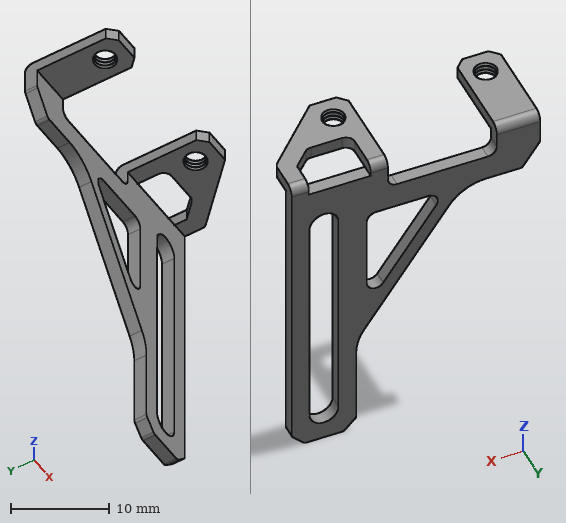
import cadquery as cq
import math

width = 27.77
depth = 10.8
height = 35.75
plate_thickness = 1.5
tab_thickness = 1.43
corner_radius = 1.0
small_corner_radius = 0.5
bend_radius = 1.0

left_tab_width = 4.85
right_tab_start = 17.0
notch_floor = height - 3.68
arm_bottom = 29.05
arm_cut = 2.05
leg_width = 7.22
leg_left = width - leg_width
foot_chamfer = 1.43
brace_angle = 55.2
brace_slope = math.tan(math.radians(brace_angle))
brace_top_x = 8.7
arm_fillet = 5.0
leg_fillet = 5.0

slot_width = 3.2
slot_bottom = 2.07
slot_top = 30.95
window_left = 10.55
window_right = 19.37

tab_chamfer = 0.95
tab_nose_width = 2.95
gusset_rim = 1.93
gusset_floor = 4.95
gusset_offset = 2.93

hole_inset = 2.45
hole_from_tip = 2.65
minor_diameter = 2.2
major_diameter = 2.5
thread_turns = 3
thread_pitch = tab_thickness / thread_turns


def plate_prism(outline):
    """Extrude an XZ outline through the plate thickness, forward from Y = 0."""
    return cq.Workplane("XZ").polyline(outline).close().extrude(plate_thickness)


def tab_prism(outline):
    """Extrude an XY outline through the tab thickness, down from the top."""
    return cq.Workplane("XY", origin=(0, 0, height)).polyline(outline).close().extrude(-tab_thickness)


def round_edge(body, direction, point, radius):
    """Fillet the edge along the given axis that lies nearest to a point."""
    return body.edges(direction).edges(cq.NearestToPointSelector(point)).fillet(radius)


def make_plate():
    brace_bottom_z = arm_bottom - (leg_left - brace_top_x) * brace_slope
    plate = plate_prism([
        (0, height),
        (left_tab_width, height),
        (left_tab_width, notch_floor),
        (right_tab_start, notch_floor),
        (right_tab_start, height),
        (width, height),
        (width, foot_chamfer),
        (width - foot_chamfer, 0),
        (leg_left + foot_chamfer, 0),
        (leg_left, foot_chamfer),
        (leg_left, brace_bottom_z),
        (brace_top_x, arm_bottom),
        (arm_cut, arm_bottom),
        (0, arm_bottom + arm_cut * brace_slope),
    ])
    for x, z, radius in [
        (left_tab_width, notch_floor, corner_radius),
        (right_tab_start, notch_floor, corner_radius),
        (brace_top_x, arm_bottom, arm_fillet),
        (leg_left, brace_bottom_z, leg_fillet),
        (arm_cut, arm_bottom, small_corner_radius),
        (0, arm_bottom + arm_cut * brace_slope, small_corner_radius),
        (leg_left, foot_chamfer, small_corner_radius),
        (leg_left + foot_chamfer, 0, small_corner_radius),
        (width - foot_chamfer, 0, small_corner_radius),
        (width, foot_chamfer, small_corner_radius),
    ]:
        plate = round_edge(plate, "|Y", (x, -plate_thickness / 2, z), radius)
    return plate


def make_window():
    window_bottom = arm_bottom - (window_right - window_left) * brace_slope
    window = plate_prism([
        (window_left, arm_bottom),
        (window_right, arm_bottom),
        (window_right, window_bottom),
    ])
    return window.edges("|Y").fillet(corner_radius)


def make_slot():
    return (
        cq.Workplane("XZ")
        .center(width - leg_width / 2, (slot_bottom + slot_top) / 2)
        .slot2D(slot_top - slot_bottom, slot_width, 90)
        .extrude(plate_thickness)
    )


def make_left_tab():
    return tab_prism([
        (0, 0),
        (left_tab_width, 0),
        (left_tab_width, tab_chamfer - depth),
        (left_tab_width - tab_chamfer, -depth),
        (tab_chamfer, -depth),
        (0, tab_chamfer - depth),
    ])


def make_right_tab():
    nose_left = right_tab_start + tab_chamfer
    nose_right = nose_left + tab_nose_width
    shoulder_y = width - nose_right - depth
    tab = tab_prism([
        (right_tab_start, 0),
        (width, 0),
        (width, shoulder_y),
        (nose_right, -depth),
        (nose_left, -depth),
        (right_tab_start, tab_chamfer - depth),
    ])
    return round_edge(tab, "|Z", (width, shoulder_y, height - tab_thickness / 2), corner_radius)


def make_gusset_opening():
    """Opening through the right tab, reaching back through the plate's top edge."""
    left = right_tab_start + gusset_rim
    right = width - gusset_rim
    nose_right = right_tab_start + tab_chamfer + tab_nose_width
    slope_start_x = nose_right - gusset_offset + depth - gusset_floor
    slope_end_y = right - slope_start_x - gusset_floor
    opening = tab_prism([
        (left, 0),
        (right, 0),
        (right, slope_end_y),
        (slope_start_x, -gusset_floor),
        (left, -gusset_floor),
    ])
    for x, y in [(left, -gusset_floor), (slope_start_x, -gusset_floor)]:
        opening = round_edge(opening, "|Z", (x, y, height - tab_thickness / 2), corner_radius)
    return opening


def make_threaded_hole(x):
    y = hole_from_tip - depth
    minor_radius = minor_diameter / 2
    major_radius = major_diameter / 2
    profile = [(0, 0), (major_radius, 0)]
    for turn in range(thread_turns):
        profile.append((minor_radius, -(turn + 0.5) * thread_pitch))
        profile.append((major_radius, -(turn + 1) * thread_pitch))
    profile.append((0, -tab_thickness))
    return (
        cq.Workplane("XZ", origin=(x, y, height))
        .polyline(profile)
        .close()
        .revolve(360, (0, 0, 0), (0, 1, 0))
    )


bracket = make_plate().union(make_left_tab()).union(make_right_tab())
bracket = bracket.edges("|X and >Y and >Z").fillet(bend_radius)
bracket = bracket.cut(make_window()).cut(make_slot()).cut(make_gusset_opening())
for tab_left in (0, right_tab_start):
    bracket = bracket.cut(make_threaded_hole(tab_left + hole_inset))

result = bracket